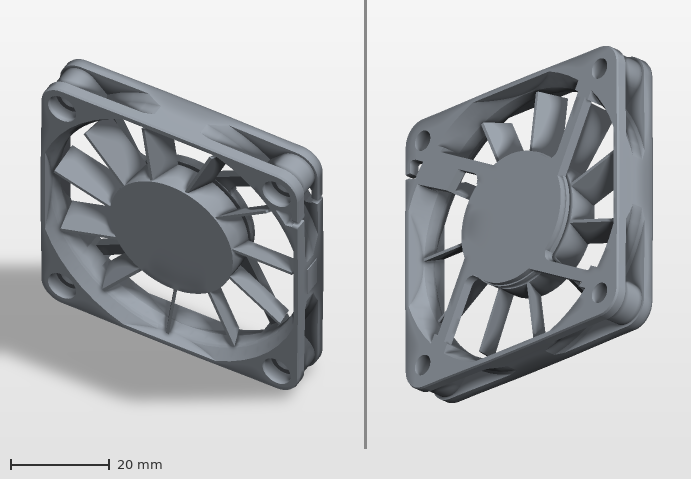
import cadquery as cq
import math

depth = 10.4
front_y = -depth / 2
back_y = depth / 2
half_side = 30.0
side_bulge = 0.21
bulge_half_length = 19.9
corner_radius = 4.95
rim_chamfer_depth = 0.5
rim_chamfer_width = 0.2
side_pad_height = 0.2
side_pad_length = 6.65
side_pad_width = 3.9
bulged_half = half_side + side_bulge
cut_clearance = 1.2

bore_radius = 28.9
flare_radius = 30.9
throat_front_y = -2.4
throat_back_y = 0.8
throat_round_length = 0.55
duct_wall = 1.75
duct_front_y = -1.9
flare_clip_half = 28.95

channel_front_y = -2.6
channel_back_y = 2.8
post_radius = 4.35
screw_offset = half_side - corner_radius
screw_radius = 2.2
counterbore_radius = 3.3
counterbore_depth = 3.35

notch_inner_radius = 32.1
notch_inner_angles = (32.4, 35.8, 39.2)
notch_top = (27.0, 21.45)
notch_top_z = 21.55
notch_lip_x = 28.6
notch_lip_foot_z = 17.5
notch_corner_radius = 0.7
slit_bottom_z = 17.8
slit_top_z = 18.9
slit_rounding = 0.55

hub_radius = 14.35
hub_front_y = -4.35
hub_back_y = 2.05
blade_count = 11
blade_tip = 27.85
blade_root = 12.1
blade_front_y = -4.0
blade_thickness = 0.65
blade_sweep = 2.55

base_radius = hub_radius
base_front_y = 2.95
base_step_y = 3.9
base_back_radius = 14.05
strut_front_y = 3.1
strut_count = 4
strut_angle = 27.3
strut_outer_edge = 9.4
strut_inner_edge = 6.85
strut_start = 7.25
strut_reach = 30.9
strut_fillet = 2.0
strut_root = 13.5
cable_plate = [(22.3, 22.1), (14.95, 15.45), (18.25, 11.75), (27.2, 16.1)]
foot_margin = 1.1
foot_start = 24.25


def plane_at(y):
    """Drawing plane across the fan axis; extruding it runs towards -Y."""
    return cq.Workplane("XZ", origin=(0, y, 0))


def turned(body, angle):
    """Turn a body about the fan axis, +X towards +Z."""
    return body.rotate((0, 0, 0), (0, -1, 0), angle)


def revolve_about_axis(half_profile):
    """Solid of revolution about the fan axis, from an outline of (radius, y) points."""
    return half_profile.close().revolve(360, (0, 0, 0), (0, 1, 0))


def duct():
    """Outside of the duct wall: a drum that widens to both ends."""
    mouth = flare_radius + duct_wall
    throat = bore_radius + duct_wall
    return revolve_about_axis(
        cq.Workplane("XY").polyline([
            (0, front_y),
            (mouth, front_y),
            (throat, duct_front_y),
            (throat, throat_back_y),
            (mouth, back_y),
            (0, back_y),
        ])
    )


def air_passage():
    """Bore with flared mouths that are cut off flat at the four side walls."""
    slope = math.atan2(flare_radius - bore_radius, throat_front_y - front_y)
    flare_end = (
        bore_radius + throat_round_length * math.sin(slope),
        throat_front_y - throat_round_length * math.cos(slope),
    )
    passage = revolve_about_axis(
        cq.Workplane("XY")
        .moveTo(0, front_y)
        .lineTo(flare_radius, front_y)
        .lineTo(*flare_end)
        .tangentArcPoint((bore_radius, throat_front_y + throat_round_length), relative=False)
        .lineTo(bore_radius, throat_back_y)
        .lineTo(flare_radius, back_y)
        .lineTo(0, back_y)
    )
    clip = plane_at(back_y).rect(2 * flare_clip_half, 2 * flare_clip_half).extrude(depth)
    return passage.intersect(clip)


def frame_block():
    """Rounded square with slightly bulging sides and chamfered rims."""
    straight = screw_offset
    diagonal = screw_offset + corner_radius * math.sqrt(0.5)
    outline = plane_at(back_y).moveTo(-straight, half_side)
    for quarter in range(4):
        turn = -math.radians(90 * quarter)

        def place(x, z):
            turned_x = x * math.cos(turn) - z * math.sin(turn)
            turned_z = x * math.sin(turn) + z * math.cos(turn)
            return (turned_x, turned_z)

        outline = (
            outline.lineTo(*place(-bulge_half_length, half_side))
            .threePointArc(place(0, bulged_half), place(bulge_half_length, half_side))
            .lineTo(*place(straight, half_side))
            .threePointArc(place(diagonal, diagonal), place(half_side, straight))
        )
    block = outline.close().extrude(depth)
    return block.faces("<Y or >Y").chamfer(rim_chamfer_depth, rim_chamfer_width)


def corner_channel():
    """Material removed between the plates, leaving the duct and four corner posts."""
    width = channel_back_y - channel_front_y
    block_side = 2 * (bulged_half + cut_clearance)
    channel = plane_at(channel_back_y).rect(block_side, block_side).extrude(width)
    channel = channel.cut(duct())
    post_distance = screw_offset * math.sqrt(2)
    for corner in range(4):
        post = plane_at(channel_back_y).center(post_distance, 0).circle(post_radius).extrude(width)
        web = plane_at(channel_back_y).center(post_distance / 2, 0)
        web = web.rect(post_distance, 2 * post_radius).extrude(width)
        channel = channel.cut(turned(post.union(web), 45 + 90 * corner))
    return channel


def screw_holes():
    """Through holes at the corners, counterbored from the front."""
    spacing = 2 * screw_offset
    holes = plane_at(back_y).rect(spacing, spacing, forConstruction=True).vertices()
    holes = holes.circle(screw_radius).extrude(depth)
    bores = plane_at(front_y + counterbore_depth).rect(spacing, spacing, forConstruction=True).vertices()
    bores = bores.circle(counterbore_radius).extrude(counterbore_depth)
    return holes.union(bores)


def side_pad():
    """Low pad in the middle of the +X side."""
    bottom = bore_radius
    height = bulged_half + side_pad_height - bottom
    pad = cq.Workplane("XY").box(height, side_pad_width, side_pad_length)
    return pad.translate((bottom + height / 2, 0, 0))


def strut():
    """First strut laid along +X, with a rounded corner where it leaves the base."""
    fillet_end = strut_root + strut_fillet
    fillet_low = strut_inner_edge - strut_fillet
    bend = strut_fillet * math.sqrt(0.5)
    return (
        plane_at(back_y)
        .moveTo(strut_start, strut_outer_edge)
        .lineTo(strut_reach, strut_outer_edge)
        .lineTo(strut_reach, strut_inner_edge)
        .lineTo(fillet_end, strut_inner_edge)
        .threePointArc((fillet_end - bend, fillet_low + bend), (strut_root, fillet_low))
        .lineTo(strut_start, fillet_low)
        .close()
        .extrude(back_y - strut_front_y)
    )


def strut_foot():
    """Block at the outer end of the first strut, before it is trimmed to the duct wall."""
    reach = strut_reach - foot_start
    width = strut_outer_edge - strut_inner_edge + 2 * foot_margin
    middle = (strut_outer_edge + strut_inner_edge) / 2
    foot = plane_at(back_y).center(foot_start + reach / 2, middle).rect(reach, width)
    return foot.extrude(back_y - throat_back_y)


def cable_support(near_y):
    """Plate beside the first strut, from near_y to the back."""
    return plane_at(back_y).polyline(cable_plate).close().extrude(back_y - near_y)


def around_struts(body, first):
    """Join copies of the first strut's shape to a body, one for each strut."""
    for number in range(strut_count):
        body = body.union(turned(first, strut_angle + number * 360 / strut_count))
    return body


def strut_feet():
    """Fillings of the back flare behind the strut ends and cable plate, flush with the throat."""
    throat = plane_at(back_y).circle(bore_radius).extrude(depth)
    feet = around_struts(cable_support(throat_back_y), strut_foot())
    return feet.intersect(duct()).cut(throat)


def motor_base():
    """Stepped round motor plate on its struts."""
    plate = plane_at(base_step_y).circle(base_radius).extrude(base_step_y - base_front_y)
    back_step = plane_at(back_y).circle(base_back_radius).extrude(back_y - base_step_y)
    base = plate.union(back_step).union(cable_support(strut_front_y))
    return around_struts(base, strut())


def cable_notch():
    """Cable pocket outside the duct, open to the +X side through a slit with rounded front edges."""
    outside = bulged_half + cut_clearance
    inner_wall = []
    for angle in notch_inner_angles:
        direction = math.radians(angle)
        x = notch_inner_radius * math.cos(direction)
        z = notch_inner_radius * math.sin(direction)
        inner_wall.append((x, z))
    pocket = (
        plane_at(back_y)
        .moveTo(*inner_wall[0])
        .threePointArc(inner_wall[1], inner_wall[2])
        .lineTo(*notch_top)
        .lineTo(notch_lip_x - notch_corner_radius, notch_top_z)
        .radiusArc((notch_lip_x, notch_top_z - notch_corner_radius), notch_corner_radius)
        .lineTo(notch_lip_x, notch_lip_foot_z)
        .close()
        .extrude(depth)
    )
    round_start = front_y + slit_rounding
    round_middle = slit_rounding * (1 - math.sqrt(0.5))
    slit = (
        cq.Workplane("YZ", origin=(notch_lip_x, 0, 0))
        .moveTo(back_y, slit_bottom_z)
        .lineTo(round_start, slit_bottom_z)
        .tangentArcPoint((front_y, slit_bottom_z - slit_rounding), relative=False)
        .lineTo(front_y, slit_top_z + slit_rounding)
        .threePointArc((front_y + round_middle, slit_top_z + round_middle), (round_start, slit_top_z))
        .lineTo(back_y, slit_top_z)
        .close()
        .extrude(outside - notch_lip_x)
    )
    return pocket.union(slit)


def make_frame():
    body = frame_block().cut(corner_channel()).union(side_pad())
    body = body.cut(air_passage()).cut(screw_holes())
    return body.union(strut_feet()).union(motor_base()).cut(cable_notch())


def blade():
    """Slanted flat blade along +X, its front edge set towards +Z."""
    return (
        cq.Workplane("YZ", origin=(blade_root, 0, 0))
        .polyline([
            (hub_back_y, 0),
            (hub_back_y, blade_thickness),
            (blade_front_y, blade_sweep + blade_thickness),
            (blade_front_y, blade_sweep),
        ])
        .close()
        .extrude(blade_tip - blade_root)
    )


def make_rotor():
    body = plane_at(hub_back_y).circle(hub_radius).extrude(hub_back_y - hub_front_y)
    for number in range(blade_count):
        body = body.union(turned(blade(), number * 360 / blade_count))
    return body


frame = make_frame()
rotor = make_rotor()
result = cq.Compound.makeCompound([frame.solids().val(), rotor.solids().val()])